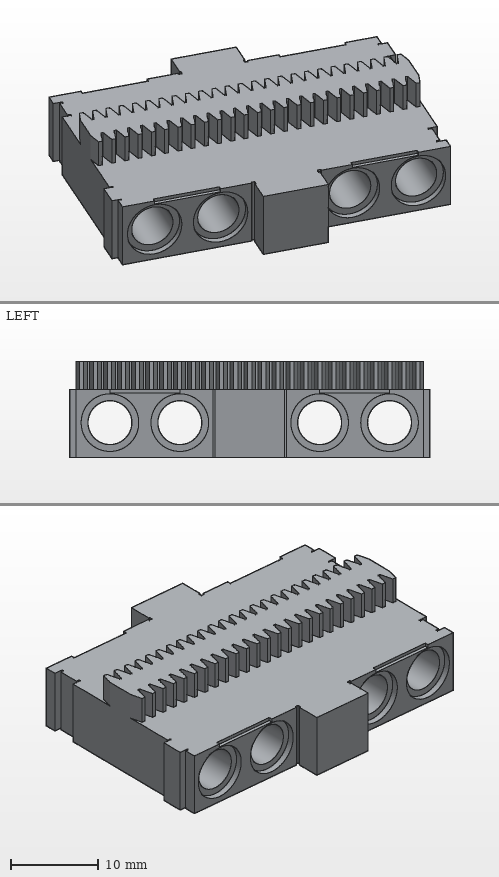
import cadquery as cq

body_width = 25.4
body_length = 39.8
body_height = 7.8

ear_span = 31.8
ear_length = 7.9
ear_relief_into_body = 0.2
ear_relief_into_ear = 0.23
ear_relief_beside_ear = 0.26
ear_relief_under_ear = 0.15

tab_offset = 9.65
tab_width = 2.8
tab_height = 0.7
tab_relief_width = 0.13
slot_width = 3.1
slot_relief_width = 0.22
relief_depth = 0.42

hole_diameter = 5.0
counterbore_diameter = 6.6
counterbore_depth = 0.8
hole_spacing = 8.0
hole_height = 4.0

edge_step_length = hole_spacing
edge_step_depth = 0.45
edge_step_drop = 0.4

rack_height = 3.2
rack_tip_half_width = 3.3
rack_root_half_width = 1.55
rack_valley_count = 24
rack_pitch = 1.606
rack_tip_land = 0.47
rack_root_land = 0.25

half_width = body_width / 2
half_length = body_length / 2
SIDES = (-1, 1)


def box(x_min, x_max, y_min, y_max, z_min=0.0, z_max=body_height):
    """Axis-aligned box between opposite limits given in any order."""
    return cq.Workplane("XY").box(
        abs(x_max - x_min), abs(y_max - y_min), z_max - z_min
    ).translate(((x_min + x_max) / 2, (y_min + y_max) / 2, (z_min + z_max) / 2))


def make_body():
    """Plate with an ear on each side and a relief at each ear corner."""
    body = box(-half_width, half_width, -half_length, half_length)
    body = body.union(box(-ear_span / 2, ear_span / 2, -ear_length / 2, ear_length / 2))
    for x_side in SIDES:
        for y_side in SIDES:
            relief = box(
                x_side * (half_width - ear_relief_into_body),
                x_side * (half_width + ear_relief_into_ear),
                y_side * (ear_length / 2 - ear_relief_under_ear),
                y_side * (ear_length / 2 + ear_relief_beside_ear),
            )
            body = body.cut(relief)
    return body


def add_tab(body, end):
    """Tab on one end face, flanked by narrow relief cuts."""
    center = -end * tab_offset
    body = body.union(box(
        center - tab_width / 2, center + tab_width / 2,
        end * (half_length - relief_depth), end * (half_length + tab_height),
    ))
    for side in SIDES:
        tab_edge = center + side * tab_width / 2
        body = body.cut(box(
            tab_edge, tab_edge + side * tab_relief_width,
            end * (half_length - relief_depth), end * half_length,
        ))
    return body


def cut_slot(body, end):
    """Slot in one end face, with a deeper relief along each slot wall."""
    center = end * tab_offset
    slot_floor = half_length - tab_height
    body = body.cut(box(
        center - slot_width / 2, center + slot_width / 2,
        end * slot_floor, end * half_length,
    ))
    for side in SIDES:
        slot_edge = center + side * slot_width / 2
        body = body.cut(box(
            slot_edge - side * slot_relief_width, slot_edge,
            end * (slot_floor - relief_depth), end * slot_floor,
        ))
    return body


def cut_cross_holes(body):
    """Through holes along X, counterbored on both sides."""
    for y_side in SIDES:
        for spacing_count in (1, 2):
            axis_y = y_side * spacing_count * hole_spacing
            plane = cq.Workplane("YZ").center(axis_y, hole_height)
            body = body.cut(plane.circle(hole_diameter / 2).extrude(half_width, both=True))
            for x_side in SIDES:
                counterbore = (
                    plane.workplane(offset=x_side * half_width)
                    .circle(counterbore_diameter / 2)
                    .extrude(-x_side * counterbore_depth)
                )
                body = body.cut(counterbore)
    return body


def cut_edge_steps(body):
    """Shallow steps along the top side edges, one per pair of holes."""
    pair_center = (hole_spacing + 2 * hole_spacing) / 2
    for x_side in SIDES:
        for y_side in SIDES:
            body = body.cut(box(
                x_side * (half_width - edge_step_depth),
                x_side * half_width,
                y_side * pair_center - edge_step_length / 2,
                y_side * pair_center + edge_step_length / 2,
                body_height - edge_step_drop,
                body_height,
            ))
    return body


def make_rack():
    """Rack bar along Y with straight-flanked teeth on both sides.

    Each end face clips the flank of one more valley, centered just beyond it.
    """
    tip_gap = rack_pitch - rack_tip_land
    rack = box(
        -rack_tip_half_width, rack_tip_half_width, -half_length, half_length,
        body_height, body_height + rack_height,
    )
    for index in range(-1, rack_valley_count + 1):
        valley_y = (index - (rack_valley_count - 1) / 2) * rack_pitch
        for side in SIDES:
            valley = (
                cq.Workplane("XY", origin=(0, valley_y, body_height))
                .moveTo(side * rack_tip_half_width, -tip_gap / 2)
                .lineTo(side * rack_root_half_width, -rack_root_land / 2)
                .lineTo(side * rack_root_half_width, rack_root_land / 2)
                .lineTo(side * rack_tip_half_width, tip_gap / 2)
                .close()
                .extrude(rack_height)
            )
            rack = rack.cut(valley)
    return rack


part = make_body()
for end_side in SIDES:
    part = add_tab(part, end_side)
    part = cut_slot(part, end_side)
part = cut_cross_holes(part)
part = cut_edge_steps(part)
result = part.union(make_rack())